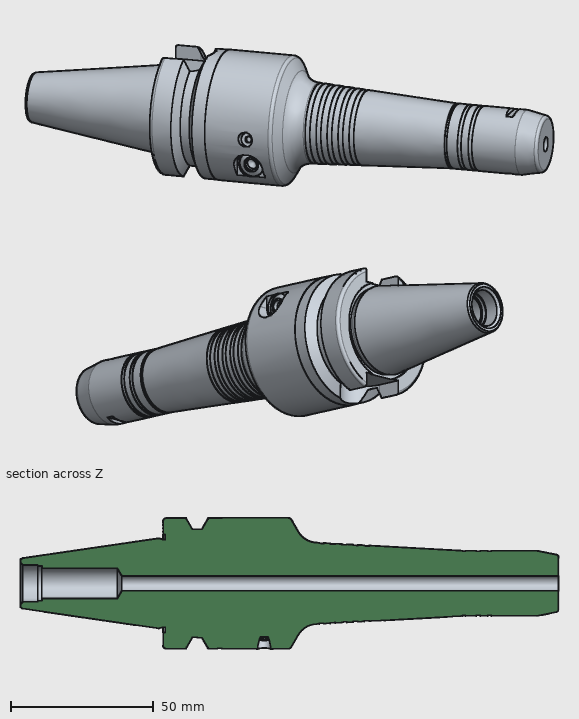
import cadquery as cq
import math

TOTAL_LENGTH = 188.4
GAUGE_X = 48.5
GAUGE_RADIUS = 15.8
TAPER_RATIO = 7 / 48
TAPER_CHAMFER_LENGTH = 0.8
TAPER_CHAMFER_DROP = 0.4

FLANGE_FACE_X = 50.0
FLANGE_RADIUS = 45.8 / 2
BODY_RADIUS = 23.0
BODY_STEP_X = 70.5
FLANGE_EDGE_FILLET = 1.1
RELIEF_RADIUS = 17.1
RELIEF_DEPTH = 0.8
RELIEF_INNER_RADIUS = 15.5

V_GROOVE_START_X = 58.0
V_GROOVE_END_X = 65.8
V_GROOVE_ROOT_RADIUS = 19.0
V_GROOVE_HALF_ANGLE = math.radians(30)
V_GROOVE_SIDE_LENGTH = (FLANGE_RADIUS - V_GROOVE_ROOT_RADIUS) * math.tan(V_GROOVE_HALF_ANGLE)

SHOULDER_START_X = 93.6
SHOULDER_ANGLE = math.radians(60)
SHOULDER_EDGE_RADIUS = 1.5
SHOULDER_CONE_LENGTH = 2.5
NECK_START_X = 103.8
NECK_START_RADIUS = 14.3
NECK_FILLET_RADIUS = 7.0

NOSE_START_X = 154.5
NOSE_RADIUS = 11.5
NOSE_TAPER_X = 180.7
NOSE_END_RADIUS = 10.2
NOSE_RIM_RADIUS = 1.1

GROOVE_PITCH = 4.0
GROOVE_DEPTH = 0.2
NECK_GROOVE_X = 104.5
NECK_GROOVE_WIDTH = 1.7
NECK_GROOVE_COUNT = 5
EDGE_GROOVE_X = 154.9
EDGE_GROOVE_WIDTH = 0.8
NOSE_GROOVE_X = 159.5
NOSE_GROOVE_WIDTH = 1.3
NOSE_GROOVE_COUNT = 2

SLOT_WIDTH = 16.2
SLOT_FLOOR_Z = 16.4
SLOT_END_X = 67.3

COOLANT_DIAMETER = 5.0
MOUTH_DIAMETER = 14.7
MOUTH_CHAMFER_LENGTH = 1.0
COUNTERBORE_DIAMETER = 12.8
COUNTERBORE_DEPTH = 6.0
RECESS_DIAMETER = 12.0
RECESS_DEPTH = 7.5
THREAD_DIAMETER = 10.5
THREAD_DEPTH = 34.0
DRILL_HALF_ANGLE = math.radians(59)

SCREW_X = 85.3
SCREW_Z = -12.2
POCKET_WIDTH = 10.4
POCKET_FLOOR = 16.0
SCREW_DIAMETER = 9.0
SCREW_TIP_DIAMETER = 5.3
SCREW_TIP_HEIGHT = 1.1
SOCKET_DIAMETER = 4.0
SOCKET_DEPTH = 1.9
SOCKET_CONE_DEPTH = 1.1

BLEED_Z = -1.1
BLEED_DIAMETER = 5.0
BLEED_DEPTH = 3.8
BLEED_TILT = 15.0
BLEED_SOCKET_DIAMETER = 2.3
BLEED_SOCKET_DEPTH = 1.5

NOTCH_X = 176.5
NOTCH_FLOOR_WIDTH = 2.3
NOTCH_TOP_WIDTH = 3.2
NOTCH_DEPTH = 1.1


def revolve_about_x(profile):
    return profile.close().revolve(360, (0, 0, 0), (1, 0, 0))


def holder_body():
    taper_end_radius = GAUGE_RADIUS - GAUGE_X * TAPER_RATIO
    sine = math.sin(SHOULDER_ANGLE)
    cosine = math.cos(SHOULDER_ANGLE)
    half_sine = math.sin(SHOULDER_ANGLE / 2)
    half_cosine = math.cos(SHOULDER_ANGLE / 2)

    edge_mid = (
        SHOULDER_START_X + SHOULDER_EDGE_RADIUS * half_sine,
        BODY_RADIUS - SHOULDER_EDGE_RADIUS * (1 - half_cosine),
    )
    cone_start = (
        SHOULDER_START_X + SHOULDER_EDGE_RADIUS * sine,
        BODY_RADIUS - SHOULDER_EDGE_RADIUS * (1 - cosine),
    )
    cone_end = (
        cone_start[0] + SHOULDER_CONE_LENGTH,
        cone_start[1] - SHOULDER_CONE_LENGTH * math.tan(SHOULDER_ANGLE),
    )
    neck_mid = (
        cone_end[0] + NECK_FILLET_RADIUS * (sine - half_sine),
        cone_end[1] - NECK_FILLET_RADIUS * (half_cosine - cosine),
    )
    rim_start_x = TOTAL_LENGTH - NOSE_RIM_RADIUS
    rim_inner_radius = NOSE_END_RADIUS - NOSE_RIM_RADIUS
    rim_bend = NOSE_RIM_RADIUS * math.cos(math.radians(45))

    profile = (
        cq.Workplane("XY")
        .moveTo(0, 0)
        .lineTo(0, taper_end_radius - TAPER_CHAMFER_DROP)
        .lineTo(TAPER_CHAMFER_LENGTH, taper_end_radius + TAPER_CHAMFER_LENGTH * TAPER_RATIO)
        .lineTo(GAUGE_X, GAUGE_RADIUS)
        .lineTo(FLANGE_FACE_X, RELIEF_INNER_RADIUS)
        .lineTo(FLANGE_FACE_X + RELIEF_DEPTH, RELIEF_INNER_RADIUS)
        .lineTo(FLANGE_FACE_X + RELIEF_DEPTH, RELIEF_RADIUS)
        .lineTo(FLANGE_FACE_X, RELIEF_RADIUS)
        .lineTo(FLANGE_FACE_X, FLANGE_RADIUS - FLANGE_EDGE_FILLET)
        .radiusArc((FLANGE_FACE_X + FLANGE_EDGE_FILLET, FLANGE_RADIUS), FLANGE_EDGE_FILLET)
        .lineTo(V_GROOVE_START_X, FLANGE_RADIUS)
        .lineTo(V_GROOVE_START_X + V_GROOVE_SIDE_LENGTH, V_GROOVE_ROOT_RADIUS)
        .lineTo(V_GROOVE_END_X - V_GROOVE_SIDE_LENGTH, V_GROOVE_ROOT_RADIUS)
        .lineTo(V_GROOVE_END_X, FLANGE_RADIUS)
        .lineTo(BODY_STEP_X, FLANGE_RADIUS)
        .lineTo(BODY_STEP_X, BODY_RADIUS)
        .lineTo(SHOULDER_START_X, BODY_RADIUS)
        .threePointArc(edge_mid, cone_start)
        .lineTo(*cone_end)
        .threePointArc(neck_mid, (NECK_START_X, NECK_START_RADIUS))
        .lineTo(NOSE_START_X, NOSE_RADIUS)
        .lineTo(NOSE_TAPER_X, NOSE_RADIUS)
        .lineTo(rim_start_x, NOSE_END_RADIUS)
        .threePointArc(
            (rim_start_x + rim_bend, rim_inner_radius + rim_bend),
            (TOTAL_LENGTH, rim_inner_radius),
        )
        .lineTo(TOTAL_LENGTH, 0)
    )
    return revolve_about_x(profile)


def outer_radius(x):
    """Radius of the tapered neck or the cylindrical nose at station x."""
    if x >= NOSE_START_X:
        return NOSE_RADIUS
    share = (x - NECK_START_X) / (NOSE_START_X - NECK_START_X)
    return NECK_START_RADIUS + share * (NOSE_RADIUS - NECK_START_RADIUS)


def ring_groove(start_x, width):
    end_x = start_x + width
    profile = (
        cq.Workplane("XY")
        .moveTo(start_x, outer_radius(start_x) - GROOVE_DEPTH)
        .lineTo(end_x, outer_radius(end_x) - GROOVE_DEPTH)
        .lineTo(end_x, BODY_RADIUS)
        .lineTo(start_x, BODY_RADIUS)
    )
    return revolve_about_x(profile)


def central_bore():
    mouth_radius = MOUTH_DIAMETER / 2
    counterbore_radius = COUNTERBORE_DIAMETER / 2
    recess_radius = RECESS_DIAMETER / 2
    thread_radius = THREAD_DIAMETER / 2
    coolant_radius = COOLANT_DIAMETER / 2
    cone_length = (thread_radius - coolant_radius) / math.tan(DRILL_HALF_ANGLE)
    profile = (
        cq.Workplane("XY")
        .moveTo(0, 0)
        .lineTo(0, mouth_radius)
        .lineTo(MOUTH_CHAMFER_LENGTH, counterbore_radius)
        .lineTo(COUNTERBORE_DEPTH, counterbore_radius)
        .lineTo(COUNTERBORE_DEPTH, recess_radius)
        .lineTo(RECESS_DEPTH, recess_radius)
        .lineTo(RECESS_DEPTH, thread_radius)
        .lineTo(THREAD_DEPTH, thread_radius)
        .lineTo(THREAD_DEPTH + cone_length, coolant_radius)
        .lineTo(TOTAL_LENGTH, coolant_radius)
        .lineTo(TOTAL_LENGTH, 0)
    )
    return revolve_about_x(profile)


def drive_slot():
    """Slot on the +Z side: open at the flange face, round at its far end."""
    slot_radius = SLOT_WIDTH / 2
    round_x = SLOT_END_X - slot_radius
    height = BODY_RADIUS - SLOT_FLOOR_Z
    return (
        cq.Workplane("XY", origin=(0, 0, SLOT_FLOOR_Z))
        .moveTo(FLANGE_FACE_X, -slot_radius)
        .lineTo(round_x, -slot_radius)
        .threePointArc((SLOT_END_X, 0), (round_x, slot_radius))
        .lineTo(FLANGE_FACE_X, slot_radius)
        .close()
        .extrude(height)
    )


def screw_pocket():
    """U-shaped pocket on the -Y side, open towards -Z, with a chamfered screw sunk in its floor."""
    half_width = POCKET_WIDTH / 2
    pocket = (
        cq.Workplane("XZ", origin=(SCREW_X, -POCKET_FLOOR, SCREW_Z))
        .moveTo(-half_width, 0)
        .threePointArc((0, half_width), (half_width, 0))
        .lineTo(half_width, -BODY_RADIUS)
        .lineTo(-half_width, -BODY_RADIUS)
        .close()
        .extrude(BODY_RADIUS)
    )
    socket_floor = SOCKET_DEPTH - POCKET_FLOOR
    screw_recess = (
        cq.Workplane("XY", origin=(SCREW_X, 0, SCREW_Z))
        .moveTo(0, -BODY_RADIUS)
        .lineTo(SCREW_DIAMETER / 2, -BODY_RADIUS)
        .lineTo(SCREW_DIAMETER / 2, SCREW_TIP_HEIGHT - POCKET_FLOOR)
        .lineTo(SCREW_TIP_DIAMETER / 2, -POCKET_FLOOR)
        .lineTo(SOCKET_DIAMETER / 2, -POCKET_FLOOR)
        .lineTo(SOCKET_DIAMETER / 2, socket_floor)
        .lineTo(0, socket_floor + SOCKET_CONE_DEPTH)
        .close()
        .revolve(360, (0, 0, 0), (0, 1, 0))
    )
    return pocket.union(screw_recess)


def bleed_hole():
    """Stepped blind hole on the -Y side, sloping down as it goes in."""
    entry = (SCREW_X, -BODY_RADIUS, BLEED_Z)
    overrun = BLEED_DIAMETER / 2
    hole = (
        cq.Workplane("XZ", origin=(SCREW_X, BLEED_DEPTH - BODY_RADIUS, BLEED_Z))
        .circle(BLEED_DIAMETER / 2)
        .extrude(BLEED_DEPTH + overrun)
        .faces(">Y")
        .workplane()
        .circle(BLEED_SOCKET_DIAMETER / 2)
        .extrude(BLEED_SOCKET_DEPTH)
    )
    axis_end = (TOTAL_LENGTH, -BODY_RADIUS, BLEED_Z)
    return hole.rotate(entry, axis_end, -BLEED_TILT)


def key_notch():
    """Notch with sloping sides, cut across the +Z side of the nose."""
    return (
        cq.Workplane("XZ", origin=(NOTCH_X, 0, 0))
        .moveTo(-NOTCH_FLOOR_WIDTH / 2, NOSE_RADIUS - NOTCH_DEPTH)
        .lineTo(NOTCH_FLOOR_WIDTH / 2, NOSE_RADIUS - NOTCH_DEPTH)
        .lineTo(NOTCH_TOP_WIDTH / 2, NOSE_RADIUS)
        .lineTo(-NOTCH_TOP_WIDTH / 2, NOSE_RADIUS)
        .close()
        .extrude(NOSE_RADIUS, both=True)
    )


result = holder_body().cut(central_bore()).cut(bleed_hole())

for index in range(NECK_GROOVE_COUNT):
    result = result.cut(ring_groove(NECK_GROOVE_X + index * GROOVE_PITCH, NECK_GROOVE_WIDTH))

result = result.cut(ring_groove(EDGE_GROOVE_X, EDGE_GROOVE_WIDTH))

for index in range(NOSE_GROOVE_COUNT):
    result = result.cut(ring_groove(NOSE_GROOVE_X + index * GROOVE_PITCH, NOSE_GROOVE_WIDTH))

for cutter in (drive_slot(), screw_pocket(), key_notch()):
    opposite = cutter.rotate((0, 0, 0), (1, 0, 0), 180)
    result = result.cut(cutter).cut(opposite)